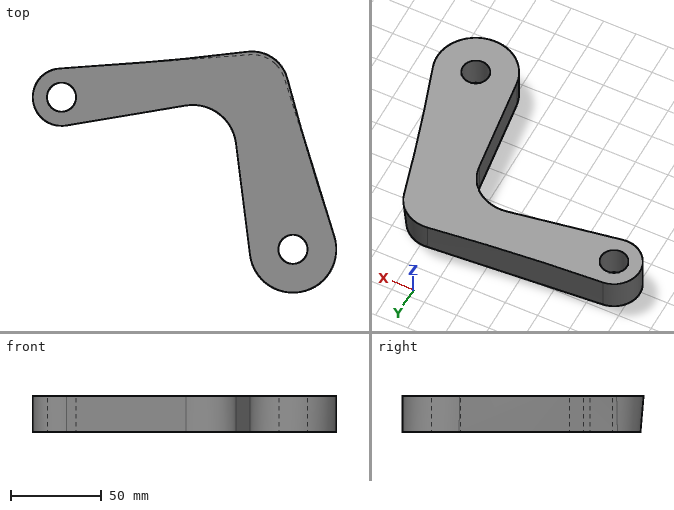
import cadquery as cq
import math

thickness = 20.0
hole_diameter = 16.0
small_end_radius = 16.0
large_end_radius = 24.0
overall_length = 167.5
overall_width = 133.2
inner_bend_radius = 24.0
top_corner_radius = 20.3
bottom_corner_radius = 18.6
hollow_radius = 1508.0

small_end = cq.Vector(small_end_radius, 107.9)
large_end = cq.Vector(overall_length - large_end_radius, large_end_radius)
corner = cq.Vector(121.0, overall_width - top_corner_radius)
inner_bend = cq.Vector(88.3, 79.6)


def towards(start, end, length):
    """Point at the given distance from start on the line towards end."""
    return start + (end - start).normalized() * length


def edge_normal(start, start_radius, end, end_radius):
    """Unit normal, left of travel, of the line touching two circles on their left side.

    A negative radius makes the line touch that circle on its right side.
    """
    span = end - start
    angle = math.atan2(span.y, span.x) + math.acos((start_radius - end_radius) / span.Length)
    return cq.Vector(math.cos(angle), math.sin(angle))


def straight_edge(start, start_radius, end, end_radius):
    """End points of the common tangent of two circles."""
    normal = edge_normal(start, start_radius, end, end_radius)
    return start + normal * start_radius, end + normal * end_radius


def hollow_edge(start, start_radius, end, end_radius):
    """End points and middle of a shallow arc that touches two circles from their left."""
    start_reach = hollow_radius + start_radius
    end_reach = hollow_radius + end_radius
    span = end - start
    along = (start_reach**2 - end_reach**2 + span.Length**2) / (2 * span.Length)
    across = math.sqrt(start_reach**2 - along**2)
    direction = span.normalized()
    left = cq.Vector(-direction.y, direction.x)
    centre = start + direction * along + left * across
    first = towards(start, centre, start_radius)
    last = towards(end, centre, end_radius)
    middle = towards(centre, (first + last) * 0.5, hollow_radius)
    return first, middle, last


def arc_middle(centre, radius, outward):
    """Point on a circle in the given direction."""
    return centre + outward.normalized() * radius


def outline(height, corner_radius, hollow):
    """Closed lever outline, clockwise from the outer edge of the small-end arm."""
    if hollow:
        a1, a_mid, a2 = hollow_edge(small_end, small_end_radius, corner, corner_radius)
        b1, b_mid, b2 = hollow_edge(corner, corner_radius, large_end, large_end_radius)
    else:
        a1, a2 = straight_edge(small_end, small_end_radius, corner, corner_radius)
        b1, b2 = straight_edge(corner, corner_radius, large_end, large_end_radius)
    c1, c2 = straight_edge(large_end, large_end_radius, inner_bend, -inner_bend_radius)
    d1, d2 = straight_edge(inner_bend, -inner_bend_radius, small_end, small_end_radius)

    corner_middle = arc_middle(corner, corner_radius, a2 + b1 - corner * 2)
    large_middle = arc_middle(large_end, large_end_radius, large_end - corner)
    bend_middle = arc_middle(inner_bend, inner_bend_radius, c2 + d1 - inner_bend * 2)
    small_middle = arc_middle(small_end, small_end_radius, small_end - corner)

    path = cq.Workplane("XY").workplane(offset=height).moveTo(a1.x, a1.y)
    path = path.threePointArc(a_mid.toTuple()[:2], a2.toTuple()[:2]) if hollow else path.lineTo(a2.x, a2.y)
    path = path.threePointArc(corner_middle.toTuple()[:2], b1.toTuple()[:2])
    path = path.threePointArc(b_mid.toTuple()[:2], b2.toTuple()[:2]) if hollow else path.lineTo(b2.x, b2.y)
    path = path.threePointArc(large_middle.toTuple()[:2], c1.toTuple()[:2])
    path = path.lineTo(c2.x, c2.y)
    path = path.threePointArc(bend_middle.toTuple()[:2], d1.toTuple()[:2])
    path = path.lineTo(d2.x, d2.y)
    path = path.threePointArc(small_middle.toTuple()[:2], a1.toTuple()[:2])
    return path.close().val()


bottom_outline = outline(0, bottom_corner_radius, hollow=False)
top_outline = outline(thickness, top_corner_radius, hollow=True)
body = cq.Solid.makeLoft([bottom_outline, top_outline], True)

holes = (
    cq.Workplane("XY")
    .pushPoints([(centre.x, centre.y) for centre in (small_end, large_end)])
    .circle(hole_diameter / 2)
    .extrude(thickness)
)
result = cq.Workplane(body).cut(holes)